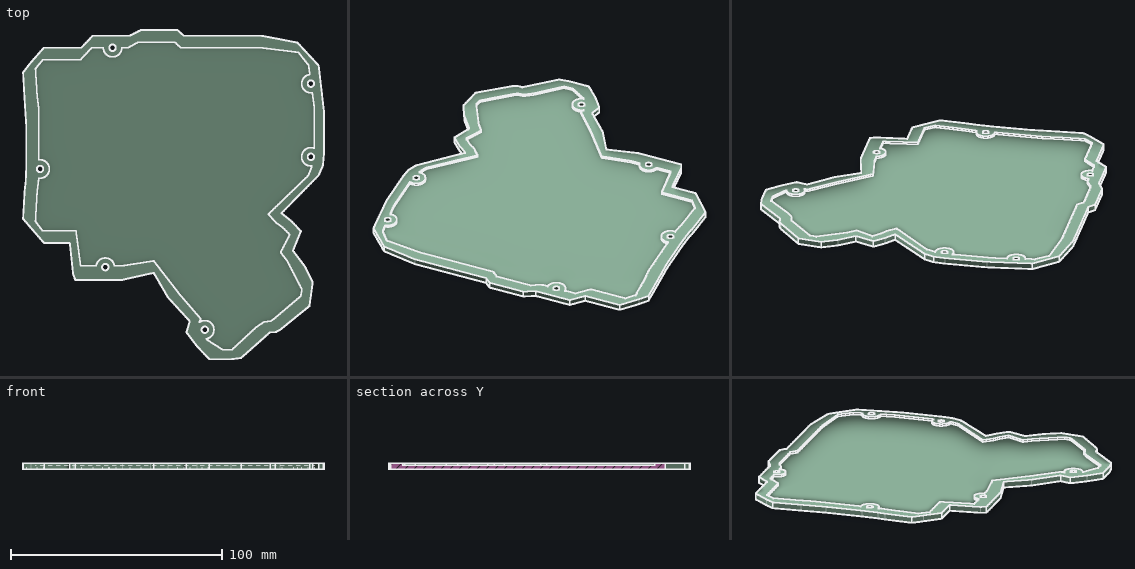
import cadquery as cq


PLATE_THICKNESS = 3.0
POCKET_DEPTH = 1.0
HOLE_DIAMETER = 3.0
BOSS_DIAMETER = 8.7

FLOOR_THICKNESS = PLATE_THICKNESS - POCKET_DEPTH

OUTER_OUTLINE = [
    (-71.3, 57.9), (-68.0, 62.1), (-61.5, 69.5), (-43.7, 69.5), (-38.2, 75.3), (-20.7, 75.3),
    (-15.5, 78.0), (1.9, 78.0), (4.8, 75.3), (41.5, 75.3), (58.7, 72.0),
    (68.8, 61.1), (71.3, 39.5), (71.3, 19.2), (70.8, 13.9), (68.8, 9.2), (51.2, -8.7),
    (56.0, -12.6), (60.4, -17.3), (56.6, -26.5), (62.4, -34.2), (66.0, -41.5), (64.5, -52.7),
    (50.4, -64.1), (48.2, -65.2), (45.7, -65.2), (32.0, -77.4), (27.1, -78.0), (17.0, -78.0),
    (11.0, -71.8), (6.1, -65.2), (7.6, -59.9), (-2.7, -48.7),
    (-9.4, -37.1), (-11.0, -37.5), (-24.3, -40.4), (-46.5, -40.4), (-47.5, -37.7), (-49.1, -23.0),
    (-61.3, -23.0), (-67.5, -15.8),
    (-71.3, -11.4), (-70.5, 2.3), (-70.0, 6.1), (-69.7, 14.0), (-69.7, 32.0), (-70.5, 44.1),
]

POCKET_OUTLINE = [
    (-65.4, 59.6), (-62.0, 63.8), (-44.1, 63.8), (-38.7, 69.5), (-21.5, 69.5), (-16.7, 72.2),
    (0.6, 72.2), (3.5, 69.5), (41.3, 69.5), (59.1, 67.4),
    (64.0, 61.3), (66.6, 41.6), (66.6, 22.2), (65.4, 13.0), (63.8, 9.0), (45.0, -9.2),
    (48.5, -13.3), (51.6, -15.5), (55.0, -18.9), (50.7, -27.3), (53.8, -31.4), (60.8, -45.0),
    (60.2, -48.0), (47.7, -58.7), (46.0, -59.9), (42.9, -60.2), (39.0, -62.9), (27.8, -73.3),
    (23.4, -73.5), (15.8, -68.6), (12.2, -60.4), (13.0, -58.8), (3.0, -47.3),
    (-9.4, -31.4), (-23.4, -33.5), (-44.0, -33.5), (-46.2, -17.2), (-62.0, -17.2),
    (-65.4, -12.6), (-64.6, 1.1), (-63.8, 7.6), (-63.8, 40.7), (-64.6, 47.3),
]

SCREW_POINTS = [
    (-28.9, 69.5), (65.0, 52.5), (65.0, 18.0), (14.8, -64.0), (-32.3, -34.3), (-63.2, 12.2),
]


def make_plate():
    """Full-thickness plate bounded by the outer outline."""
    return cq.Workplane("XY").polyline(OUTER_OUTLINE).close().extrude(PLATE_THICKNESS)


def make_discs(diameter, bottom, height):
    """Round discs at every screw position."""
    plane = cq.Workplane("XY").workplane(offset=bottom)
    return plane.pushPoints(SCREW_POINTS).circle(diameter / 2).extrude(height)


def make_pocket():
    """Recess above the floor, reduced by the bosses that stay level with the rim."""
    recess = (
        cq.Workplane("XY")
        .workplane(offset=FLOOR_THICKNESS)
        .polyline(POCKET_OUTLINE)
        .close()
        .extrude(POCKET_DEPTH)
    )
    return recess.cut(make_discs(BOSS_DIAMETER, FLOOR_THICKNESS, POCKET_DEPTH))


screw_holes = make_discs(HOLE_DIAMETER, 0, PLATE_THICKNESS)

result = make_plate().cut(make_pocket()).cut(screw_holes)